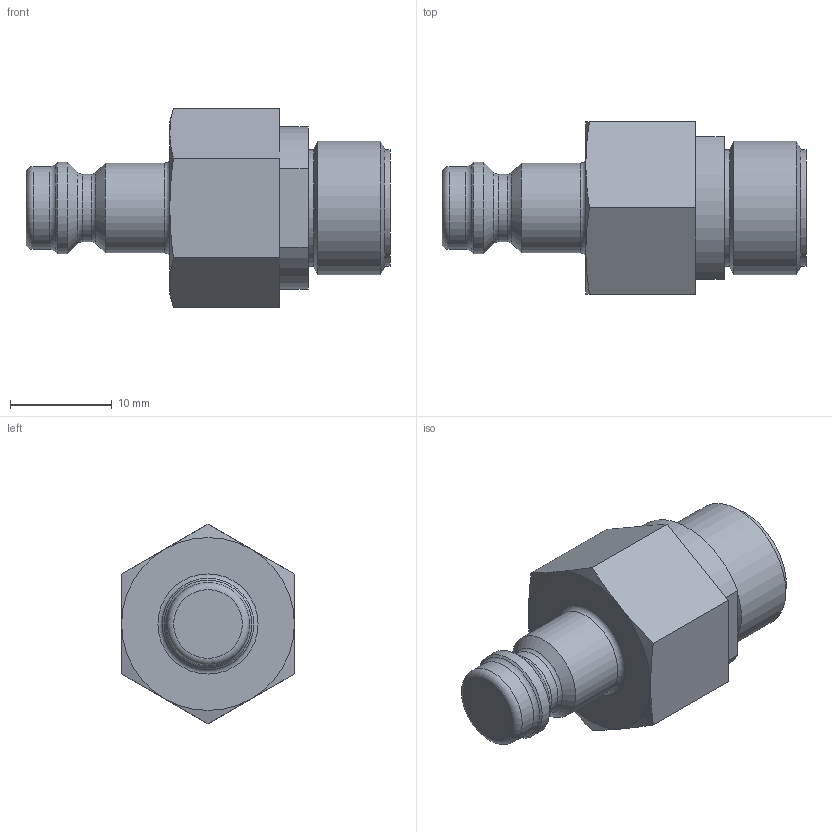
import math

import cadquery as cq


STEP_START = 2.3
RIM_END = 4.1
GROOVE_CENTER = 5.98
HEX_START = 14.15
HEX_END = 24.95
COLLAR_END = 27.75
RELIEF_END = 28.28
THREAD_START = 28.7
THREAD_END = 34.85
TOTAL_LENGTH = 35.8

TIP_RADIUS = 8.15 / 2
RIM_RADIUS = 9.0 / 2
SHANK_RADIUS = 8.85 / 2
GROOVE_RADIUS = 6.65 / 2
TIP_ROUND = 0.7
STEP_FILLET = 0.8
GROOVE_FILLET = 0.6
ROOT_FILLET = 0.5
CONE_ANGLE = math.radians(45)

HEX_ACROSS_FLATS = 17.0
HEX_ACROSS_CORNERS = HEX_ACROSS_FLATS / math.cos(math.radians(30))
HEX_CHAMFER_ANGLE = math.radians(15)

COLLAR_DIAMETER = 16.0
COLLAR_ACROSS_FLATS = 14.0

THREAD_RADIUS = 13.16 / 2
RELIEF_RADIUS = 11.45 / 2
THREAD_CHAMFER_LENGTH = 0.43

QUARTER_ARC_INSET = 1 - math.sin(math.radians(45))


def arc_offset(radius, angle):
    """Axial and radial travel of an arc that turns by angle away from the axis direction."""
    return radius * math.sin(angle), radius * (1 - math.cos(angle))


def revolve_about_x(profile):
    return profile.close().revolve(360, (0, 0, 0), (1, 0, 0))


def make_plug():
    """Solid of revolution from the rounded tip to the hexagon face."""
    half_angle = CONE_ANGLE / 2

    step_run, step_rise = arc_offset(STEP_FILLET, CONE_ANGLE)
    step_mid_run, step_mid_rise = arc_offset(STEP_FILLET, half_angle)
    step_cone_radius = TIP_RADIUS + step_rise
    step_cone_length = (RIM_RADIUS - step_cone_radius) / math.tan(CONE_ANGLE)
    rim_start = STEP_START + step_run + step_cone_length

    fillet_run, fillet_rise = arc_offset(GROOVE_FILLET, CONE_ANGLE)
    fillet_mid_run, fillet_mid_rise = arc_offset(GROOVE_FILLET, half_angle)
    cone_foot_radius = GROOVE_RADIUS + fillet_rise
    cone_length = (RIM_RADIUS - cone_foot_radius) / math.tan(CONE_ANGLE)
    half_foot = GROOVE_CENTER - RIM_END - cone_length
    shank_start = GROOVE_CENTER + half_foot + (SHANK_RADIUS - cone_foot_radius) / math.tan(CONE_ANGLE)
    half_floor = half_foot - fillet_run
    half_fillet_mid = half_floor + fillet_mid_run
    fillet_mid_radius = GROOVE_RADIUS + fillet_mid_rise

    tip_mid = TIP_ROUND * QUARTER_ARC_INSET
    root_mid = ROOT_FILLET * QUARTER_ARC_INSET

    profile = (
        cq.Workplane("XY")
        .moveTo(0, 0)
        .lineTo(0, TIP_RADIUS - TIP_ROUND)
        .threePointArc((tip_mid, TIP_RADIUS - tip_mid), (TIP_ROUND, TIP_RADIUS))
        .lineTo(STEP_START, TIP_RADIUS)
        .threePointArc(
            (STEP_START + step_mid_run, TIP_RADIUS + step_mid_rise),
            (STEP_START + step_run, step_cone_radius),
        )
        .lineTo(rim_start, RIM_RADIUS)
        .lineTo(RIM_END, RIM_RADIUS)
        .lineTo(GROOVE_CENTER - half_foot, cone_foot_radius)
        .threePointArc(
            (GROOVE_CENTER - half_fillet_mid, fillet_mid_radius),
            (GROOVE_CENTER - half_floor, GROOVE_RADIUS),
        )
        .lineTo(GROOVE_CENTER + half_floor, GROOVE_RADIUS)
        .threePointArc(
            (GROOVE_CENTER + half_fillet_mid, fillet_mid_radius),
            (GROOVE_CENTER + half_foot, cone_foot_radius),
        )
        .lineTo(shank_start, SHANK_RADIUS)
        .lineTo(HEX_START - ROOT_FILLET, SHANK_RADIUS)
        .threePointArc(
            (HEX_START - root_mid, SHANK_RADIUS + root_mid),
            (HEX_START, SHANK_RADIUS + ROOT_FILLET),
        )
        .lineTo(HEX_START, 0)
    )
    return revolve_about_x(profile)


def make_hexagon():
    """Hexagon prism whose corners are chamfered on the plug side."""
    prism = (
        cq.Workplane("YZ", origin=(HEX_START, 0, 0))
        .transformed(rotate=(0, 0, 90))
        .polygon(6, HEX_ACROSS_CORNERS)
        .extrude(HEX_END - HEX_START)
    )
    face_radius = HEX_ACROSS_FLATS / 2
    outer_radius = HEX_ACROSS_CORNERS
    chamfer_end = HEX_START + (outer_radius - face_radius) * math.tan(HEX_CHAMFER_ANGLE)
    envelope = (
        cq.Workplane("XY")
        .moveTo(HEX_START, 0)
        .lineTo(HEX_START, face_radius)
        .lineTo(chamfer_end, outer_radius)
        .lineTo(HEX_END, outer_radius)
        .lineTo(HEX_END, 0)
    )
    return prism.intersect(revolve_about_x(envelope))


def make_collar():
    """Disc with two parallel flats behind the hexagon."""
    length = COLLAR_END - HEX_END
    slab = (
        cq.Workplane("YZ", origin=(HEX_END, 0, 0))
        .rect(COLLAR_ACROSS_FLATS, COLLAR_DIAMETER)
        .extrude(length)
    )
    disc = (
        cq.Workplane("YZ", origin=(HEX_END, 0, 0))
        .circle(COLLAR_DIAMETER / 2)
        .extrude(length)
    )
    return disc.intersect(slab)


def make_thread_end():
    """Plain cylinder at the thread diameter, with a relief behind it and a pilot in front."""
    pilot_start = THREAD_END + THREAD_CHAMFER_LENGTH
    profile = (
        cq.Workplane("XY")
        .moveTo(COLLAR_END, 0)
        .lineTo(COLLAR_END, RELIEF_RADIUS)
        .lineTo(RELIEF_END, RELIEF_RADIUS)
        .lineTo(THREAD_START, THREAD_RADIUS)
        .lineTo(THREAD_END, THREAD_RADIUS)
        .lineTo(pilot_start, RELIEF_RADIUS)
        .lineTo(TOTAL_LENGTH, RELIEF_RADIUS)
        .lineTo(TOTAL_LENGTH, 0)
    )
    return revolve_about_x(profile)


result = make_plug().union(make_hexagon()).union(make_collar()).union(make_thread_end())